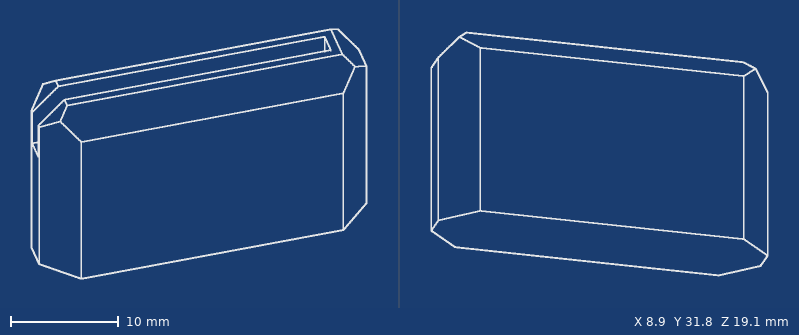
import cadquery as cq

width = 8.9
length = 31.75
height = 19.05

corner_bevel = 3.18
top_bevel = 2.55

slot_width = 2.03
slot_depth = 6.3
slot_end_wall = 3.4


def beveled_block():
    """Block with a beveled top rim and its four vertical corners cut off."""
    size = (width, length, height)
    rim_beveled = cq.Workplane("XY").box(*size, centered=(True, True, False))
    rim_beveled = rim_beveled.faces(">Z").edges().chamfer(top_bevel)
    octagonal_prism = cq.Workplane("XY").box(*size, centered=(True, True, False))
    octagonal_prism = octagonal_prism.edges("|Z").chamfer(corner_bevel)
    return rim_beveled.intersect(octagonal_prism)


def slot():
    """Cutter for the slot, running from the -Y end to the wall at +Y."""
    slot_length = length - slot_end_wall
    return (
        cq.Workplane("XY")
        .box(slot_width, slot_length, slot_depth, centered=(True, False, False))
        .translate((0, -length / 2, height - slot_depth))
    )


result = beveled_block().cut(slot())